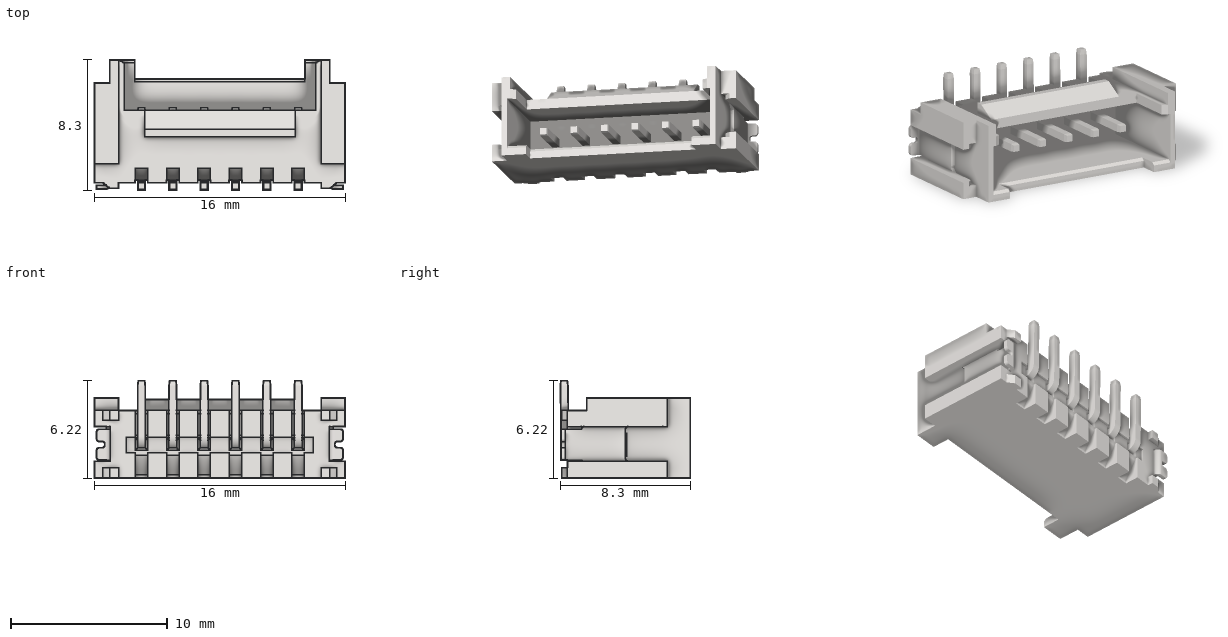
import cadquery as cq
length = 16.0
half_length = length / 2
roof_z = 4.32
shoulder_y = 6.38
mouth_y = 7.85
floor_y = 6.64
roof_y = 4.65

cheek_x = 7.02
cheek_z = 5.12
cheek_inner_x = 6.46
cheek_rear_y = 1.23

wall_thickness = 0.62
cavity_x = 6.65
cavity_rear_y = 1.28
cavity_floor_z = wall_thickness
cavity_ceiling_z = roof_z - wall_thickness
roof_gap_x = 6.11
floor_gap_x = 5.42
lead_in = 0.18

groove_low_z = 1.09
groove_high_z = 3.3
groove_floor_x = cheek_x
tab_slot_x = 7.26
tab_slot_undercut = 0.32
tab_slot_mouth = 0.3

tab_front_y = 3.7
tab_tip_y = 4.16
tab_neck_y = 0.9
tab_inner_x = 7.0
tab_thickness = 0.25
tab_bend = 0.06
tab_outer_x = tab_inner_x + tab_thickness
tab_mid_z = 2.15
tab_height = 1.98
wedge_tip_y = 3.8
wedge_height = 1.47
ear_rear_y = -0.4
ear_front_y = ear_rear_y + tab_thickness
ear_x = 7.87
ear_corner = 0.2
ear_notch_corner = 0.16
ear_notch_x = 7.35
ear_notch_height = 0.38

pad_depth = 0.35
pad_inner_x = cheek_inner_x
pad_flat_x = 7.02
pad_outer_x = 7.45
pad_low_height = 0.67
pad_high_height = 0.62

rib_x = 4.8
rib_z = 5.02
rib_crest_y = 3.42
rib_rear_y = 2.95

rear_y = -0.45
pin_count = 6
pitch = 2.0
pin_width = 0.5
pin_axis_z = 2.18
pin_tip_y = 4.82
pin_top_z = 6.22
pin_bend = 0.72
pin_lean = 0.05
pin_taper = 0.32
pin_tip_step = 0.04

slot_width = 0.8
slot_depth = 0.95
web_y = 0.18
slot_lip = 0.2
upper_slope_z = 2.75
lower_slope_z = 1.47
band_x = 5.97
band_low_z = 1.62
band_high_z = 2.6

pin_positions = [(i - (pin_count - 1) / 2) * pitch for i in range(pin_count)]


def block(x0, x1, y0, y1, z0, z1):
    """Axis-aligned box between two corners."""
    return cq.Workplane("XY").box(x1 - x0, y1 - y0, z1 - z0, centered=False).translate((x0, y0, z0))


def both_ends(shape):
    """The shape together with its mirror image at the other end of the housing."""
    return shape.union(shape.mirror("YZ"))


def side_profile(points, width, x=0):
    """Prism of a (y, z) outline, centred on x along X."""
    return cq.Workplane("YZ").polyline(points).close().extrude(width / 2, both=True).translate((x, 0, 0))


def make_shell():
    shell = block(-half_length, half_length, 0, shoulder_y, 0, roof_z)
    shell = shell.union(block(-cheek_x, cheek_x, 0, mouth_y, 0, roof_z))
    cheek = block(cheek_inner_x, half_length, cheek_rear_y, shoulder_y, roof_z, cheek_z)
    cheek = cheek.union(block(cheek_inner_x, cheek_x, cheek_rear_y, mouth_y, roof_z, cheek_z))
    return shell.union(both_ends(cheek))


def make_cavity():
    cavity = block(-cavity_x, cavity_x, cavity_rear_y, mouth_y, cavity_floor_z, cavity_ceiling_z)
    open_top = block(-roof_gap_x, roof_gap_x, roof_y, mouth_y, cavity_floor_z, roof_z)
    floor_gap = block(-floor_gap_x, floor_gap_x, floor_y, mouth_y, 0, cavity_floor_z)
    return cavity.union(open_top).union(floor_gap)


def make_lead_in():
    """Chamfers around the mouth: along the floor edges and on the ends of the roof strips."""
    def floor_bevel(edge_y, half_width):
        outline = [(edge_y, cavity_floor_z), (edge_y - lead_in, cavity_floor_z), (edge_y, cavity_floor_z - lead_in)]
        return side_profile(outline, 2 * half_width)

    strip_bevel = (
        cq.Workplane("XY")
        .polyline([(roof_gap_x, mouth_y), (cheek_inner_x, mouth_y), (roof_gap_x, mouth_y - lead_in)])
        .close()
        .extrude(wall_thickness)
        .translate((0, 0, cavity_ceiling_z))
    )
    bevels = floor_bevel(floor_y, floor_gap_x).union(floor_bevel(mouth_y, cavity_x))
    return bevels.union(both_ends(strip_bevel))


def make_rib():
    outline = [(rib_rear_y, roof_z), (rib_rear_y, rib_z), (rib_crest_y, rib_z), (roof_y, roof_z)]
    return side_profile(outline, 2 * rib_x)


def make_pads():
    outline = [(pad_inner_x, 0), (pad_inner_x, -pad_depth), (pad_flat_x, -pad_depth), (pad_outer_x, 0)]
    low = cq.Workplane("XY").polyline(outline).close().extrude(pad_low_height)
    high = cq.Workplane("XY", origin=(0, 0, roof_z)).polyline(outline).close().extrude(-pad_high_height)
    return both_ends(low.union(high))


def make_grooves():
    """Open side grooves, each with a slot behind its lips that widens at the front end."""
    groove = block(groove_floor_x, half_length, 0, shoulder_y, groove_low_z, groove_high_z)
    plan = [
        (groove_floor_x, tab_neck_y),
        (tab_slot_x, tab_neck_y),
        (tab_slot_x, shoulder_y - tab_slot_mouth),
        (tab_slot_x + tab_slot_mouth, shoulder_y),
        (groove_floor_x, shoulder_y),
    ]
    seat = block(tab_inner_x, groove_floor_x, 0, tab_front_y, groove_low_z, groove_high_z)
    slot_height = groove_high_z - groove_low_z + 2 * tab_slot_undercut
    slot = cq.Workplane("XY", origin=(0, 0, groove_low_z - tab_slot_undercut)).polyline(plan).close()
    return both_ends(groove.union(seat).union(slot.extrude(slot_height)))


def make_tabs():
    """Plates lying in the side grooves, bent outwards at the rear into two ears."""
    section = (
        cq.Workplane("XY")
        .moveTo(tab_inner_x, tab_tip_y)
        .lineTo(tab_outer_x, tab_tip_y)
        .lineTo(tab_outer_x, ear_front_y + tab_bend)
        .radiusArc((tab_outer_x + tab_bend, ear_front_y), -tab_bend)
        .lineTo(ear_x, ear_front_y)
        .lineTo(ear_x, ear_rear_y)
        .lineTo(tab_outer_x + tab_bend, ear_rear_y)
        .radiusArc((tab_inner_x, ear_front_y + tab_bend), tab_thickness + tab_bend)
        .close()
        .extrude(roof_z)
    )
    low_z = tab_mid_z - tab_height / 2
    high_z = tab_mid_z + tab_height / 2
    slot_low_z = groove_low_z - tab_slot_undercut
    slot_high_z = groove_high_z + tab_slot_undercut
    wide_y = tab_neck_y + low_z - slot_low_z
    flank = [
        (ear_rear_y, low_z),
        (tab_neck_y, low_z),
        (wide_y, slot_low_z),
        (tab_tip_y, slot_low_z),
        (tab_front_y, slot_low_z + tab_tip_y - tab_front_y),
        (tab_front_y, slot_high_z - tab_tip_y + tab_front_y),
        (tab_tip_y, slot_high_z),
        (wide_y, slot_high_z),
        (tab_neck_y, high_z),
        (ear_rear_y, high_z),
    ]
    tab = section.intersect(side_profile(flank, length + 0.16))
    notch = block(ear_notch_x, ear_x, ear_rear_y, ear_front_y,
                  tab_mid_z - ear_notch_height / 2, tab_mid_z + ear_notch_height / 2)
    tab = tab.cut(notch.edges("|Y and <X").fillet(ear_notch_corner))
    tab = tab.edges("|Y and >X").fillet(ear_corner)
    wedge = (
        cq.Workplane("XY", origin=(0, 0, tab_mid_z - wedge_height / 2))
        .polyline([(tab_inner_x, tab_front_y), (tab_outer_x, tab_front_y), (tab_inner_x, wedge_tip_y)])
        .close()
        .extrude(wedge_height)
    )
    return both_ends(tab.union(wedge))


def make_rear_slots():
    slots = block(-band_x, band_x, 0, web_y, band_low_z, band_high_z)
    upper = [(0, roof_z), (slot_depth, roof_z), (slot_depth, roof_z - slot_lip), (web_y, upper_slope_z),
             (web_y, band_low_z), (0, band_low_z)]
    lower = [(0, 0), (slot_depth, 0), (slot_depth, slot_lip), (web_y, lower_slope_z),
             (web_y, band_high_z), (0, band_high_z)]
    for x in pin_positions:
        slots = slots.union(side_profile(upper, slot_width, x))
        slots = slots.union(side_profile(lower, slot_width, x))
        funnel = (
            cq.Workplane("XZ", origin=(x, web_y, pin_axis_z))
            .rect(slot_width, slot_width)
            .workplane(offset=-web_y)
            .rect(pin_width, pin_width)
            .loft()
        )
        slots = slots.union(funnel)
    return slots


def tapered_outline(plane, origin, root, tip):
    """Outline symmetric about its second axis, as wide as a pin and narrowing just before the tip."""
    half = pin_width / 2
    tip_half = half - pin_tip_step
    shoulder = tip - pin_taper
    points = [(half, root), (half, shoulder), (tip_half, tip),
              (-tip_half, tip), (-half, shoulder), (-half, root)]
    return cq.Workplane(plane, origin=origin).polyline(points).close()


def make_pin():
    """L-shaped square contact: a level leg in the housing, an upright leg leaning slightly back."""
    low_z = pin_axis_z - pin_width / 2
    high_z = low_z + pin_width
    foot_y = rear_y + pin_lean
    tip_shoulder_y = pin_tip_y - pin_taper
    top_shoulder_z = pin_top_z - pin_taper
    side = (
        cq.Workplane("YZ")
        .moveTo(pin_tip_y, low_z + pin_tip_step)
        .lineTo(tip_shoulder_y, low_z)
        .lineTo(foot_y + pin_bend, low_z)
        .radiusArc((foot_y, low_z + pin_bend), pin_bend)
        .lineTo(rear_y, top_shoulder_z)
        .lineTo(rear_y + pin_tip_step, pin_top_z)
        .lineTo(rear_y + pin_width - pin_tip_step, pin_top_z)
        .lineTo(rear_y + pin_width, top_shoulder_z)
        .lineTo(foot_y + pin_width, high_z)
        .lineTo(tip_shoulder_y, high_z)
        .lineTo(pin_tip_y, high_z - pin_tip_step)
        .close()
        .extrude(pin_width / 2, both=True)
    )
    front = tapered_outline("XZ", (0, pin_tip_y, 0), low_z, pin_top_z).extrude(pin_tip_y - rear_y)
    plan = tapered_outline("XY", (0, 0, low_z), rear_y, pin_tip_y).extrude(pin_top_z - low_z)
    return side.intersect(front).intersect(plan)


housing = make_shell().union(make_rib()).union(make_pads())
housing = housing.cut(make_cavity()).cut(make_lead_in()).cut(make_grooves()).cut(make_rear_slots())
housing = housing.union(make_tabs())
pin = make_pin()
for pin_x in pin_positions:
    housing = housing.union(pin.translate((pin_x, 0, 0)))
result = housing